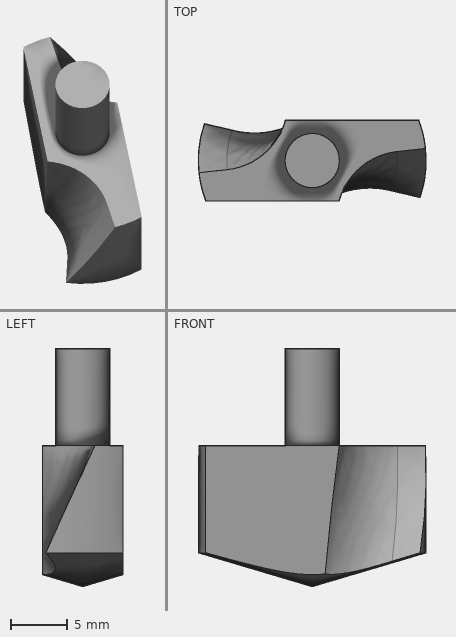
import cadquery as cq
import math


head_diameter = 20.2
head_thickness = 7.17
cone_height = 3.0
head_wall_height = 9.5
shank_diameter = 4.8
shank_length = 8.6

flute_count = 2
flute_radius = 6.0
land_start_radius = 7.58
land_angle = 6.1
twist_over_wall = 25.0
flute_overrun = 2.0

head_radius = head_diameter / 2
head_height = cone_height + head_wall_height
full_twist = twist_over_wall * head_height / head_wall_height


def make_head():
    """Revolved cylinder with a conical point, flattened to the head thickness."""
    blank = (
        cq.Workplane("XZ")
        .moveTo(0, 0)
        .lineTo(head_radius, cone_height)
        .lineTo(head_radius, head_height)
        .lineTo(0, head_height)
        .close()
        .revolve(360, (0, 0), (0, 1))
    )
    slab = cq.Workplane("XY").box(
        head_diameter, head_thickness, head_height, centered=(True, True, False)
    )
    return blank.intersect(slab)


def make_flute():
    """Twisted cutter: a radial land running tangentially into a round root.

    The section is drawn with the land along +X, then swept up the axis and
    turned so that the land reaches its angle at the top of the head.
    """
    outer_x = head_radius + flute_overrun
    root_left_x = land_start_radius - flute_radius
    root_half = flute_radius * math.sqrt(0.5)
    root_middle = (land_start_radius - root_half, root_half - flute_radius)
    cutter = (
        cq.Workplane("XY")
        .moveTo(outer_x, 0)
        .lineTo(land_start_radius, 0)
        .threePointArc(root_middle, (root_left_x, -flute_radius))
        .lineTo(outer_x, -flute_radius)
        .close()
        .twistExtrude(head_height, full_twist)
    )
    return cutter.rotate((0, 0, 0), (0, 0, 1), land_angle - full_twist)


def make_shank():
    """Plain cylindrical shank on top of the head."""
    return (
        cq.Workplane("XY")
        .workplane(offset=head_height)
        .circle(shank_diameter / 2)
        .extrude(shank_length)
    )


result = make_head()
flute = make_flute()
for index in range(flute_count):
    result = result.cut(flute.rotate((0, 0, 0), (0, 0, 1), index * 360 / flute_count))
result = result.union(make_shank())